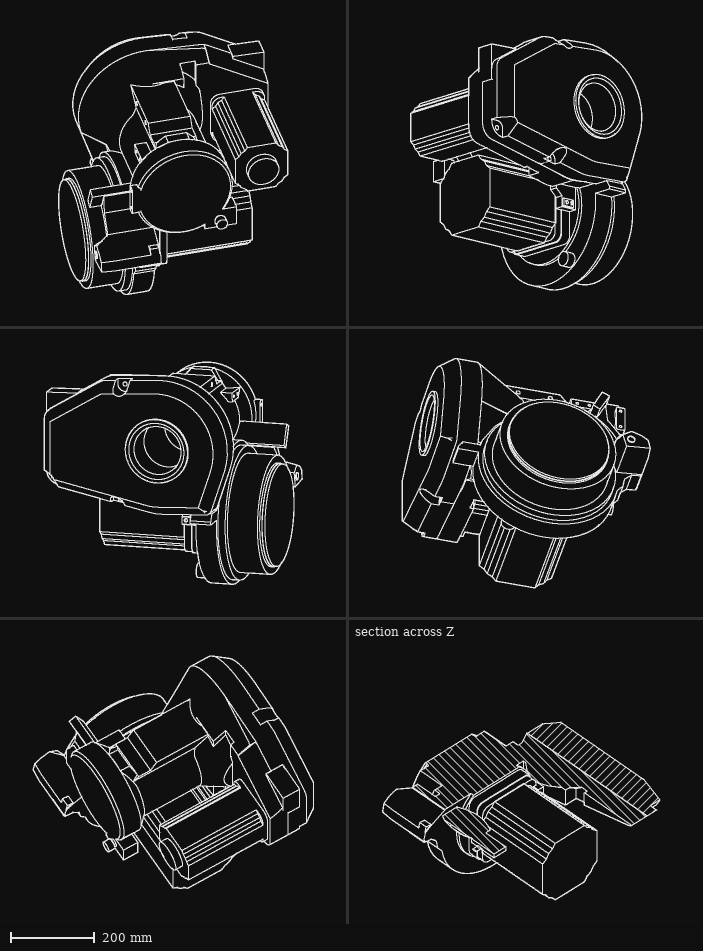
import cadquery as cq
import math

WRIST_Z = 200.0

COVER_FRONT_X = -260.0
COVER_SHOULDER_X = -224.5
COVER_BACK_X = -173.0
COVER_BEVEL = 25.0
COVER_R = 164.0
FLANK_ANGLE = 197.0
COVER_REAR_Y = 291.0
ROOF_Y = 146.0
ROOF_Z = 355.0
REAR_SLOPE = 0.6
REAR_ROOF_DROP = 0.45
RING_R = 77.4
RING_X = -266.4
BORE_R = 58.5
BORE_MOUTH_R = 68.5
BORE_MOUTH_DEPTH = 10.0
BORE_END_X = 0.0

NOTCH_FLOOR_X = -205.7
NOTCH_REACH = 60.0
COVER_SCREW_R = 5.0
COVER_NOTCHES = [
    (95.7, 345.0, 18.0, (90.0,)),
    (274.0, 108.0, 18.0, (0.0, 270.0)),
    (107.0, 62.5, 17.0, (270.0,)),
]

NECK_R = 95.7
CONE_END_X = -52.0
FLARE_START_X = 108.0
FLANGE_START_X = 132.0
FLANGE_BEVEL_X = 180.0
FLANGE_END_X = 187.0
FLANGE_R = 119.3
FLANGE_END_R = 113.0

CASE_BACK_X = -97.0
CASE_REAR_X = -132.0
MOTOR_PLATE_X = -123.0
PAD_END_X = -159.0
MOTOR_PLATE_Y = 113.0
CASE_MID_Y = 76.0
CASE_CONE_LIMIT_Y = 122.0
ALL_Y = 300.0
ALL_Z = (0.0, 400.0)

HUB_R = 172.13
HUB_SHOULDER_Y = -139.5
HUB_LIP_Y = -220.0
PLATE_BACK_Y = -70.0
PLATE_FRONT_Y = -121.5
MOTOR_PAD_Y = -61.0
HUB_FRONT_Y = -214.3
HUB_STEPS = [
    (122.0, MOTOR_PAD_Y, PLATE_BACK_Y),
    (HUB_R, PLATE_BACK_Y, PLATE_FRONT_Y),
    (161.0, PLATE_FRONT_Y, HUB_SHOULDER_Y),
    (142.5, HUB_SHOULDER_Y, HUB_FRONT_Y),
    (124.0, HUB_FRONT_Y, HUB_LIP_Y),
    (122.5, HUB_LIP_Y, -226.9),
]

UPPER_MOTOR_Y = 214.0
UPPER_MOTOR_Z = 172.0
UPPER_MOTOR_HALF = 65.0
UPPER_MOTOR_START_X = -110.0
UPPER_MOTOR_END_X = 98.7
UPPER_CAP_R = 37.7
UPPER_CAP_X = 117.0
UPPER_NECK_FILLET = 22.0
LOWER_MOTOR_HALF = 89.0
LOWER_MOTOR_START_Y = -16.5
LOWER_MOTOR_NECK_Y = -35.0
LOWER_MOTOR_END_Y = 193.5
LOWER_NECK_FILLET = 20.0
LOWER_NECK_INSET = 2.0


def prism_y(points, y_front, y_back):
    """Extrude an (x, z) polygon between two y positions."""
    plane = cq.Workplane("XZ", origin=(0, y_front, 0))
    return plane.polyline(points).close().extrude(y_front - y_back)


def prism_x(points, x_start, x_end):
    """Extrude a (y, z) polygon between two x positions."""
    plane = cq.Workplane("YZ", origin=(x_start, 0, 0))
    return plane.polyline(points).close().extrude(x_end - x_start)


def cylinder_y(x, z, radius, y_start, y_end):
    plane = cq.Workplane("XZ", origin=(x, y_start, z))
    return plane.circle(radius).extrude(y_start - y_end)


def cylinder_x(y, z, radius, x_start, x_end):
    plane = cq.Workplane("YZ", origin=(x_start, y, z))
    return plane.circle(radius).extrude(x_end - x_start)


def block(x_range, y_range, z_range):
    corner = (x_range[0], y_range[0], z_range[0])
    size = [r[1] - r[0] for r in (x_range, y_range, z_range)]
    return cq.Workplane("XY").box(*size, centered=False).translate(corner)


def revolve_about_wrist(profile):
    """Revolve an (x, radius) profile about the wrist axis."""
    plane = cq.Workplane("XZ", origin=(0, 0, WRIST_Z))
    return plane.polyline(profile).close().revolve(360, (0, 0, 0), (1, 0, 0))


def case_outline(x_start, x_end):
    """Pear-shaped gear case section between two x positions."""
    tangent_y = 8.5
    tangent_z = WRIST_Z + math.sqrt(COVER_R**2 - tangent_y**2)
    flank_angle = math.radians(FLANK_ANGLE)
    flank_y = COVER_R * math.cos(flank_angle)
    flank_z = WRIST_Z + COVER_R * math.sin(flank_angle)
    middle_angle = math.radians(140)
    arc_middle = (
        COVER_R * math.cos(middle_angle),
        WRIST_Z + COVER_R * math.sin(middle_angle),
    )
    front_foot = (-120.5, 43.0)
    belly = (14.0, 36.5)
    rear_foot = (COVER_REAR_Y, 94.6)
    rear_shoulder = (COVER_REAR_Y, ROOF_Z - REAR_SLOPE * (COVER_REAR_Y - ROOF_Y))
    roof = (ROOF_Y, ROOF_Z)
    body = (
        cq.Workplane("YZ", origin=(x_start, 0, 0))
        .moveTo(tangent_y, tangent_z)
        .threePointArc(arc_middle, (flank_y, flank_z))
        .lineTo(*front_foot)
        .lineTo(*belly)
        .lineTo(*rear_foot)
        .lineTo(*rear_shoulder)
        .lineTo(*roof)
        .close()
        .extrude(x_end - x_start)
    )
    for (y, z), radius in (
        (front_foot, 15.0),
        (belly, 120.0),
        (rear_foot, 36.0),
        (rear_shoulder, 28.0),
        (roof, 40.0),
    ):
        nearest = cq.selectors.NearestToPointSelector(((x_start + x_end) / 2, y, z))
        body = body.edges("|X").edges(nearest).fillet(radius)
    return body


def wrist_bore():
    mouth_end_x = RING_X + BORE_MOUTH_DEPTH
    return revolve_about_wrist([
        (RING_X, 0),
        (RING_X, BORE_MOUTH_R),
        (mouth_end_x, BORE_R),
        (BORE_END_X, BORE_R),
        (BORE_END_X, 0),
    ])


def make_rear_pad():
    """Flat-topped pad of the housing that fills a recess in the cover."""
    profile = [(COVER_REAR_Y, 225), (COVER_REAR_Y, 312.5), (214, 315), (214, 225)]
    return prism_x(profile, NOTCH_FLOOR_X, PAD_END_X)


def make_cover():
    cover = case_outline(COVER_SHOULDER_X, COVER_BACK_X)
    rim = cover.faces("<X").wires().val()
    bevel_depth = COVER_SHOULDER_X - COVER_FRONT_X
    bevel_angle = math.degrees(math.atan(COVER_BEVEL / bevel_depth))
    bevelled_front = cq.Solid.extrudeLinear(rim, [], cq.Vector(-bevel_depth, 0, 0), bevel_angle)
    cover = cover.union(cq.Workplane(bevelled_front))
    cover = cover.union(cylinder_x(0, WRIST_Z, RING_R, RING_X, COVER_SHOULDER_X))
    for y, z, radius, directions in COVER_NOTCHES:
        cover = cover.cut(cylinder_x(y, z, radius, COVER_FRONT_X, NOTCH_FLOOR_X))
        for direction in directions:
            mouth = block((COVER_FRONT_X, NOTCH_FLOOR_X), (0, NOTCH_REACH), (-radius, radius))
            mouth = mouth.rotate((0, 0, 0), (1, 0, 0), direction).translate((0, y, z))
            cover = cover.cut(mouth)
        cover = cover.cut(cylinder_x(y, z, COVER_SCREW_R, COVER_FRONT_X, COVER_BACK_X))
    cover = cover.cut(make_rear_pad())
    return cover.cut(wrist_bore())


def make_wrist_neck():
    neck = revolve_about_wrist([
        (COVER_BACK_X, 0),
        (COVER_BACK_X, COVER_R),
        (CONE_END_X, NECK_R),
        (FLARE_START_X, NECK_R),
        (FLANGE_START_X, FLANGE_R),
        (FLANGE_BEVEL_X, FLANGE_R),
        (FLANGE_END_X, FLANGE_END_R),
        (FLANGE_END_X, 0),
    ])
    flat = block((MOTOR_PLATE_X, CONE_END_X), (CASE_CONE_LIMIT_Y, COVER_R), ALL_Z)
    shoulders = prism_x([(-81, 250.6), (-52, 286), (52, 286), (81, 250.6)], CASE_BACK_X, 115)
    return neck.cut(flat).union(shoulders)


def roof_waste(edge_z, drop, y_start, y_end, slope):
    """Material above a roof plane that drops toward +X and, by `slope`, toward +Y."""
    above_z = edge_z + 200
    corners = [
        cq.Vector(COVER_BACK_X, y_start, edge_z),
        cq.Vector(COVER_BACK_X, y_start, above_z),
        cq.Vector(CASE_BACK_X, y_start, above_z),
        cq.Vector(CASE_BACK_X, y_start, edge_z - drop),
    ]
    side = cq.Wire.makePolygon(corners, close=True)
    run = y_end - y_start
    return cq.Workplane(cq.Solid.extrudeLinear(side, [], cq.Vector(0, run, -slope * run)))


def make_gear_case():
    case = case_outline(COVER_BACK_X, CASE_BACK_X)
    middle = block((COVER_BACK_X, CASE_BACK_X), (0, CASE_MID_Y), ALL_Z)
    rear = block((COVER_BACK_X, CASE_REAR_X), (0, ALL_Y), ALL_Z)
    motor_plate = block((COVER_BACK_X, MOTOR_PLATE_X), (MOTOR_PLATE_Y, ALL_Y), ALL_Z)
    case = case.intersect(middle.union(rear).union(motor_plate))
    length = CASE_BACK_X - COVER_BACK_X
    front_slope = (COVER_R - NECK_R) / (CONE_END_X - COVER_BACK_X)
    front_roof_z = WRIST_Z + COVER_R
    case = case.cut(roof_waste(front_roof_z, front_slope * length, 0, ROOF_Y, 0))
    case = case.cut(roof_waste(ROOF_Z, REAR_ROOF_DROP * length, ROOF_Y, ALL_Y, REAR_SLOPE))
    return case.union(make_rear_pad())


def make_case_flank():
    """Drafted wall below the cone on the hub side."""
    front = [(0, 163), (-157, 152), (-124, 50), (-115, 43), (0, 43)]
    back = [(0, 163), (-117, 163), (-88, 50), (-80, 43), (0, 43)]
    return (
        cq.Workplane("YZ", origin=(COVER_BACK_X, 0, 0))
        .polyline(front)
        .close()
        .workplane(offset=CASE_BACK_X - COVER_BACK_X)
        .polyline(back)
        .close()
        .loft(ruled=True)
    )


def make_hub():
    hub = None
    for radius, y_start, y_end in HUB_STEPS:
        step = cylinder_y(0, 0, radius, y_start, y_end)
        hub = step if hub is None else hub.union(step)
    left_lobe = [(-221, 18), (-221, 25), (-210, 43), (-100, 43), (-100, 18)]
    right_lip = [(160, 37), (229, 37), (228, 33), (205, 30), (188, 13.6), (184, -10), (160, -40)]
    for lobe in (left_lobe, right_lip):
        hub = hub.union(prism_y(lobe, PLATE_BACK_Y, PLATE_FRONT_Y))
    pin_x, pin_z, pin_r, pin_end_y = -80, -128.5, 17.5, -48.5
    return hub.union(cylinder_y(pin_x, pin_z, pin_r, pin_end_y, PLATE_BACK_Y))


def make_saddle():
    """Flat-topped saddle on the neck with a shallow gap before the flange."""
    half_width = 52.0
    rise_half_width = 26.0
    base_z = 230.0
    top_z = 318.2
    gap_z = 295.5
    side_z = 287.0
    gap_start_x, gap_end_x = 64, 97
    ramp_top_x = 107
    hole_r, hole_z, hole_depth = 4.8, 302.5, 10
    ridge = [
        (-150, base_z),
        (-150, top_z),
        (47, top_z),
        (gap_start_x, gap_z),
        (gap_end_x, gap_z),
        (112, side_z),
        (112, base_z),
    ]
    saddle = prism_y(ridge, half_width, -half_width)
    rise_section = [
        (-half_width, base_z),
        (-half_width, side_z),
        (-rise_half_width, top_z),
        (rise_half_width, top_z),
        (half_width, side_z),
        (half_width, base_z),
    ]
    rise = prism_x(rise_section, gap_end_x, FLANGE_START_X)
    ramp = [(gap_end_x, gap_z), (ramp_top_x, top_z), (gap_end_x, top_z)]
    saddle = saddle.union(rise.cut(prism_y(ramp, half_width, -half_width)))
    for x in (-56, 23):
        saddle = saddle.cut(cylinder_y(x, hole_z, hole_r, hole_depth - half_width, -half_width))
    return saddle


def make_neck_bracket():
    front_y, hole_r, hole_depth = -90, 3, 10
    top_z, bottom_z = 275, 253
    hole_z = (top_z + bottom_z) / 2
    outline = [(64, top_z), (130, top_z), (115, bottom_z), (66, bottom_z)]
    bracket = prism_y(outline, -40, front_y)
    for x in (79.5, 109):
        bracket = bracket.cut(cylinder_y(x, hole_z, hole_r, front_y + hole_depth, front_y))
    return bracket


def make_flange_lugs():
    lug_front_y, lug_half_height = -129.5, 36
    lug_start_x = 165.5
    hole_x, hole_r, hole_depth, hole_offset = 176, 3, 10, 25
    lug_z = (WRIST_Z - lug_half_height, WRIST_Z + lug_half_height)
    front = block((lug_start_x, FLANGE_END_X), (lug_front_y, -100), lug_z).edges("|Y").fillet(5)
    for z in (WRIST_Z - hole_offset, WRIST_Z + hole_offset):
        front = front.cut(cylinder_y(hole_x, z, hole_r, lug_front_y + hole_depth, lug_front_y))
    rear = block((147, FLANGE_END_X), (50, 128), (85, 135))
    pin_y, pin_z = 86, 107.5
    head_start_x, head_end_x = 192.5, 210
    pin = cylinder_x(pin_y, pin_z, 10, FLANGE_END_X, head_start_x)
    head = cylinder_x(pin_y, pin_z, 13.5, head_start_x, head_end_x)
    return front.union(rear).union(pin).union(head)


def make_stop_bracket():
    strip_front_y = -212.0
    strip_outline = [(87.6, 149.8), (109.7, 197.6), (128, 188.4), (104, 140.6)]
    strip = prism_y(strip_outline, -60, strip_front_y)
    rim_front_y = -183.0
    rim_outline = [(98, 140), (110, 150), (125, 186), (130, 137), (161, 95), (170, 60), (150, 60)]
    rim = prism_y(rim_outline, PLATE_BACK_Y, rim_front_y)
    rim = rim.cut(cylinder_y(0, 0, HUB_R, PLATE_BACK_Y, rim_front_y))
    front_y = -216.0
    back_outline = [(150, 75), (161, 95), (205, 74), (224, 62), (230.5, 37.5), (168.5, 31)]
    front_outline = [(159, 67), (181, 82), (205, 74), (222, 62), (227, 37.5), (168.5, 31)]
    stop = prism_y(back_outline, PLATE_BACK_Y, rim_front_y)
    nose = (
        cq.Workplane("XZ", origin=(0, rim_front_y, 0))
        .polyline(back_outline)
        .close()
        .workplane(offset=rim_front_y - front_y)
        .polyline(front_outline)
        .close()
        .loft(ruled=True)
    )
    bump = prism_y([(200, 60), (200, 74), (220, 76.5), (224, 62)], -72, -94)
    boss_x, boss_z, boss_r, boss_height = 179.6, 55, 9, 2
    screw_boss = cylinder_y(boss_x, boss_z, boss_r, front_y, front_y - boss_height)
    return strip.union(rim).union(stop).union(nose).union(bump).union(screw_boss)


def motor_section(plane, half):
    """Square motor section with stepped-back corners."""
    corner = 0.78 * half
    step = (0.64 * half, 0.865 * half)
    flat = 0.54 * half
    side = [(-corner, corner), (-step[0], step[1]), (-flat, half), (flat, half), step]
    points = []
    for quarter in range(4):
        for a, b in side:
            for _ in range(quarter):
                a, b = b, -a
            points.append((a, b))
    return plane.polyline(points).close()


def make_upper_motor():
    plane = cq.Workplane("YZ", origin=(UPPER_MOTOR_START_X, UPPER_MOTOR_Y, UPPER_MOTOR_Z))
    motor = motor_section(plane, UPPER_MOTOR_HALF).extrude(UPPER_MOTOR_END_X - UPPER_MOTOR_START_X)
    neck = (
        cq.Workplane("YZ", origin=(MOTOR_PLATE_X, UPPER_MOTOR_Y, UPPER_MOTOR_Z))
        .rect(2 * UPPER_MOTOR_HALF, 2 * UPPER_MOTOR_HALF)
        .extrude(UPPER_MOTOR_START_X - MOTOR_PLATE_X)
        .edges("|X")
        .fillet(UPPER_NECK_FILLET)
    )
    cap = cylinder_x(UPPER_MOTOR_Y, UPPER_MOTOR_Z, UPPER_CAP_R, UPPER_MOTOR_END_X, UPPER_CAP_X)
    return motor.union(neck).union(cap)


def make_lower_motor():
    plane = cq.Workplane("XZ", origin=(0, LOWER_MOTOR_END_Y, 0))
    motor = motor_section(plane, LOWER_MOTOR_HALF).extrude(LOWER_MOTOR_END_Y - LOWER_MOTOR_START_Y)
    for half, y_start, y_end in (
        (LOWER_MOTOR_HALF - LOWER_NECK_INSET, LOWER_MOTOR_START_Y, LOWER_MOTOR_NECK_Y),
        (LOWER_MOTOR_HALF, LOWER_MOTOR_NECK_Y, MOTOR_PAD_Y),
    ):
        neck = block((-half, half), (y_end, y_start), (-half, half)).edges("|Y").fillet(LOWER_NECK_FILLET)
        motor = motor.union(neck)
    return motor


def make_side_web():
    """Web between hub plate and lower motor with a small two-hole lug."""
    web_outline = [(0, 60), (0, 31), (-18, 15), (-18, -12), (-75, -12), (-75, 60)]
    web = prism_x(web_outline, -110, -80)
    lug_x, hole_depth, hole_r = -116, 10, 4
    lug = block((lug_x, -100), (-49.5, -18.5), (-10, 8))
    for y in (-28.5, -44.5):
        lug = lug.cut(cylinder_x(y, 0, hole_r, lug_x, lug_x + hole_depth))
    return web.union(lug)


def make_housing(cover):
    housing = make_wrist_neck()
    for feature in (
        make_gear_case(),
        make_case_flank(),
        make_hub(),
        make_saddle(),
        make_neck_bracket(),
        make_flange_lugs(),
        make_stop_bracket(),
        make_upper_motor(),
        make_lower_motor(),
        make_side_web(),
    ):
        housing = housing.union(feature)
    return housing.cut(wrist_bore()).cut(cover)


cover = make_cover()
housing = make_housing(cover)
result = cq.Compound.makeCompound([cover.val(), housing.val()])